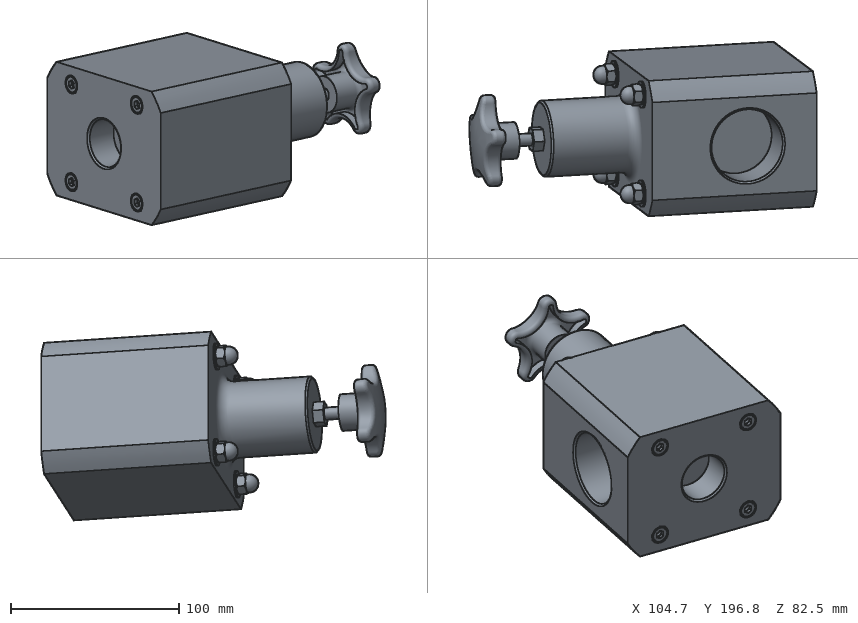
import cadquery as cq
import math


body_width = 104.7
body_height = 82.5
body_length = 101.5
corner_radius = 60.2

front_port_diameter = 29.0
front_port_depth = 19.7
side_port_diameter = 43.9
side_port_depth = 25.5
side_port_y = 42.7
port_chamfer = 1.2

screw_offset = 30.1
screw_recess_diameter = 11.0
screw_head_diameter = 9.5
screw_recess_depth = 2.0
socket_corners = 5.1
socket_depth = 2.4
socket_cone_height = 1.5
washer_diameter = 16.0
washer_thickness = 1.0
cap_nut_flats = 11.5
cap_nut_height = 5.7
cap_collar_height = 1.2
cap_nut_chamfer = 0.8
cap_dome_diameter = 11.0

bonnet_diameter = 45.7
bonnet_end_y = 155.5
bonnet_chamfer = 1.2
bonnet_flare_radius = 6.5

spindle_diameter = 7.5
lock_nut_corners = 15.0
lock_nut_height = 6.5

hub_diameter = 22.0
hub_start_y = 172.0
hub_flare_radius = 3.0
wheel_start_y = 184.5
wheel_end_y = 196.8
lobe_count = 5
lobe_circle_radius = 23.8
lobe_radius = 4.7
valley_radius = 17.5
crown_radius = 90.5
rim_thickness = 3.1
web_thickness = 6.7
wheel_bottom_fillet = 2.5
wheel_top_fillet = 2.4


def plane_at(y, x=0, z=0):
    """Workplane facing +Y, with local x along +X and local y along -Z."""
    return cq.Workplane(cq.Plane((x, y, z), (1, 0, 0), (0, 1, 0)))


def cylinder(diameter, start_y, end_y, x=0, z=0):
    return plane_at(start_y, x, z).circle(diameter / 2).extrude(end_y - start_y)


def hexagon(corners, y, x, z):
    """Sketch of a hexagon across the given corners, with two corners pointing along Z."""
    return plane_at(y, x, z).transformed(rotate=(0, 0, 30)).polygon(6, corners)


def polar(radius, angle):
    """Point in the wheel plane, with angle zero along +Z."""
    return (radius * math.sin(angle), -radius * math.cos(angle))


def make_body():
    block = plane_at(0).rect(body_width, body_height).extrude(body_length)
    return block.intersect(cylinder(2 * corner_radius, 0, body_length))


def make_port(diameter, depth, mouth, direction):
    """Blind bore with a chamfered mouth, drilled from the mouth point along direction."""
    radius = diameter / 2
    bore = cq.Solid.makeCylinder(radius, depth, mouth, direction)
    rim = cq.Solid.makeCone(radius + port_chamfer, radius, port_chamfer, mouth, direction)
    return cq.Workplane(bore).union(cq.Workplane(rim))


def cut_ports(part):
    front_mouth = cq.Vector(0, 0, 0)
    side_mouth = cq.Vector(-body_width / 2, side_port_y, 0)
    front_port = make_port(front_port_diameter, front_port_depth, front_mouth, cq.Vector(0, 1, 0))
    side_port = make_port(side_port_diameter, side_port_depth, side_mouth, cq.Vector(1, 0, 0))
    return part.cut(front_port).cut(side_port)


def make_flare(diameter, base_y, fillet_radius, direction):
    """Concave fillet ring from a flat face at base_y onto a shaft leaving it along direction (+1 or -1)."""
    radius = diameter / 2
    flare_end_y = base_y + direction * fillet_radius
    arc_offset = fillet_radius * (1 - math.sqrt(0.5))
    return (
        cq.Workplane("XY")
        .moveTo(0, base_y)
        .lineTo(radius + fillet_radius, base_y)
        .threePointArc((radius + arc_offset, base_y + direction * arc_offset), (radius, flare_end_y))
        .lineTo(0, flare_end_y)
        .close()
        .revolve(360, (0, 0), (0, 1))
    )


def make_bonnet():
    barrel = cylinder(bonnet_diameter, body_length, bonnet_end_y).faces(">Y").chamfer(bonnet_chamfer)
    return barrel.union(make_flare(bonnet_diameter, body_length, bonnet_flare_radius, 1))


def make_screw_recess(x, z):
    ring = plane_at(0, x, z).circle(screw_recess_diameter / 2).circle(screw_head_diameter / 2)
    socket = hexagon(socket_corners, 0, x, z).extrude(socket_depth)
    cone_radius = socket_corners * math.cos(math.pi / 6) / 2
    cone = cq.Workplane(
        cq.Solid.makeCone(cone_radius, 0, socket_cone_height, (x, socket_depth, z), (0, 1, 0))
    )
    return ring.extrude(screw_recess_depth).union(socket).union(cone)


def make_cap_nut(x, z):
    nut_start_y = body_length + washer_thickness
    nut_end_y = nut_start_y + cap_nut_height
    nut_corners = cap_nut_flats / math.cos(math.pi / 6)
    washer = cylinder(washer_diameter, body_length, nut_start_y, x, z)
    nut = hexagon(nut_corners, nut_start_y, x, z).extrude(cap_nut_height)
    blank = cylinder(nut_corners, nut_start_y, nut_end_y, x, z)
    blank = blank.faces("<Y or >Y").chamfer(cap_nut_chamfer, (nut_corners - cap_nut_flats) / 2)
    nut = nut.intersect(blank)
    collar_end_y = nut_end_y + cap_collar_height
    collar = cylinder(cap_dome_diameter, nut_end_y, collar_end_y, x, z)
    dome = cq.Workplane("XY").sphere(cap_dome_diameter / 2).translate((x, collar_end_y, z))
    return washer.union(nut).union(collar).union(dome)


def make_spindle():
    rod = cylinder(spindle_diameter, bonnet_end_y, hub_start_y)
    lock_nut = plane_at(bonnet_end_y).polygon(6, lock_nut_corners).extrude(lock_nut_height)
    return rod.union(lock_nut)


def star(inset, start_y, height):
    """Lobed wheel outline, moved inwards by inset: tip arcs joined to tangent valley arcs."""
    half_pitch = math.pi / lobe_count
    reach = valley_radius - lobe_radius
    valley_centre = (lobe_circle_radius**2 - reach**2) / (
        2 * (lobe_circle_radius * math.cos(half_pitch) - reach)
    )
    valley_arc = valley_centre - valley_radius
    blend = (lobe_radius - inset) / (lobe_radius + valley_arc)

    def tangent_point(lobe_angle, valley_angle):
        lobe = polar(lobe_circle_radius, lobe_angle)
        valley = polar(valley_centre, valley_angle)
        return tuple(a + blend * (b - a) for a, b in zip(lobe, valley))

    outline = plane_at(start_y).moveTo(*tangent_point(0, -half_pitch))
    for lobe in range(lobe_count):
        angle = 2 * half_pitch * lobe
        next_angle = angle + 2 * half_pitch
        valley_angle = angle + half_pitch
        outline = outline.threePointArc(
            polar(lobe_circle_radius + lobe_radius - inset, angle), tangent_point(angle, valley_angle)
        ).threePointArc(
            polar(valley_radius - inset, valley_angle), tangent_point(next_angle, valley_angle)
        )
    return outline.close().extrude(height)


def make_crown():
    """Domed disc, larger than the wheel, whose spherical top sets the wheel crown."""
    rim_radius = lobe_circle_radius + 2 * lobe_radius
    mid_radius = rim_radius / 2

    def crown_y(radius):
        return wheel_end_y - crown_radius + math.sqrt(crown_radius**2 - radius**2)

    return (
        cq.Workplane("XY")
        .moveTo(0, wheel_start_y)
        .lineTo(rim_radius, wheel_start_y)
        .lineTo(rim_radius, crown_y(rim_radius))
        .threePointArc((mid_radius, crown_y(mid_radius)), (0, wheel_end_y))
        .close()
        .revolve(360, (0, 0), (0, 1))
    )


def make_handwheel():
    wheel = star(0, wheel_start_y, wheel_end_y - wheel_start_y).intersect(make_crown())
    wheel = wheel.faces("<Y").edges().fillet(wheel_bottom_fillet)
    wheel = wheel.faces(">Y").edges().fillet(wheel_top_fillet)
    web_y = wheel_end_y - web_thickness
    wheel = wheel.cut(star(rim_thickness, wheel_start_y, web_y - wheel_start_y))
    hub = cylinder(hub_diameter, hub_start_y, web_y)
    return wheel.union(hub).union(make_flare(hub_diameter, web_y, hub_flare_radius, -1))


result = cut_ports(make_body()).union(make_bonnet())
for x in (-screw_offset, screw_offset):
    for z in (-screw_offset, screw_offset):
        result = result.cut(make_screw_recess(x, z)).union(make_cap_nut(x, z))
result = result.union(make_spindle()).union(make_handwheel())